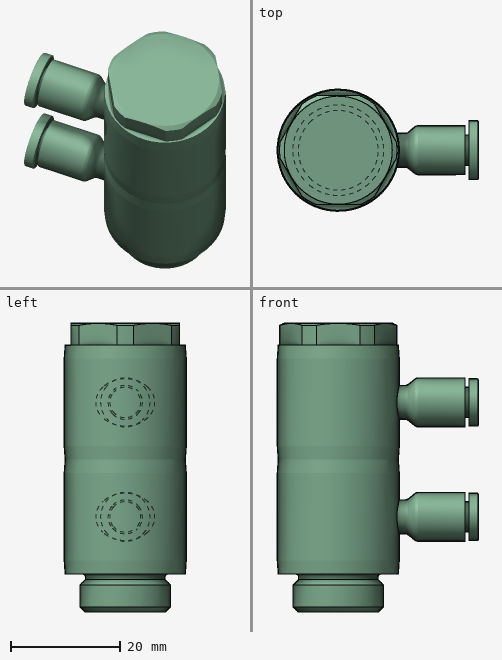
import cadquery as cq
import math

total_height = 53.0
total_length = 36.9
hex_height = 4.05
module_height = 21.0
module_count = 2
body_bottom = total_height - hex_height - module_count * module_height

body_diameter = 22.4
body_radius = body_diameter / 2
body_end_radius = 11.0
body_taper_length = 2.5

stud_radius = 8.3
stud_chamfer = 1.0
stud_neck_radius = stud_radius - stud_chamfer
stud_shoulder_height = 5.0
stud_root_fillet = 0.5

hex_across_flats = 20.0
hex_corner_radius = 10.75
hex_top_radius = 9.9
hex_chamfer_angle = 25.0

connector_neck_radius = 3.15
cone_start = 12.6
cone_end = 14.3
cone_small_fillet = 0.75
cone_large_fillet = 1.0
barrel_radius = 4.5
barrel_end = 23.25
release_stem_radius = 2.8
collar_start = 23.95
collar_end = total_length - body_radius
collar_semi_y = 5.4
collar_semi_z = 4.35
collar_edge_fillet = 0.2


def make_stud():
    """Turned stud: end chamfer, 45 degree shoulder and a filleted neck."""
    neck_start = stud_shoulder_height + stud_chamfer
    outline = (
        cq.Workplane("XZ")
        .moveTo(0, 0)
        .lineTo(stud_neck_radius, 0)
        .lineTo(stud_radius, stud_chamfer)
        .lineTo(stud_radius, stud_shoulder_height)
        .lineTo(stud_neck_radius, neck_start)
        .lineTo(stud_neck_radius, body_bottom - stud_root_fillet)
        .radiusArc((stud_neck_radius + stud_root_fillet, body_bottom), stud_root_fillet)
        .lineTo(0, body_bottom)
        .close()
    )
    return outline.revolve(360, (0, 0, 0), (0, 1, 0))


def make_module(bottom):
    """Swivel body whose two ends taper in slightly."""
    top = bottom + module_height
    outline = (
        cq.Workplane("XZ")
        .moveTo(0, bottom)
        .lineTo(body_end_radius, bottom)
        .lineTo(body_radius, bottom + body_taper_length)
        .lineTo(body_radius, top - body_taper_length)
        .lineTo(body_end_radius, top)
        .lineTo(0, top)
        .close()
    )
    return outline.revolve(360, (0, 0, 0), (0, 1, 0))


def make_hex_head():
    """Hexagon with flats facing Y, trimmed by a turned and chamfered blank."""
    bottom = total_height - hex_height
    chamfer_drop = (hex_corner_radius - hex_top_radius) * math.tan(math.radians(hex_chamfer_angle))
    hex_across_corners = hex_across_flats / math.cos(math.pi / 6)
    hexagon = (
        cq.Workplane("XY", origin=(0, 0, bottom))
        .polygon(6, hex_across_corners)
        .extrude(hex_height)
    )
    blank = (
        cq.Workplane("XZ")
        .moveTo(0, bottom)
        .lineTo(hex_corner_radius, bottom)
        .lineTo(hex_corner_radius, total_height - chamfer_drop)
        .lineTo(hex_top_radius, total_height)
        .lineTo(0, total_height)
        .close()
        .revolve(360, (0, 0, 0), (0, 1, 0))
    )
    return hexagon.intersect(blank)


def make_connector(height):
    """Necked barrel with a release stem and an elliptical release collar."""
    search_margin = 0.05
    barrel = (
        cq.Workplane("XY")
        .moveTo(0, 0)
        .lineTo(0, connector_neck_radius)
        .lineTo(cone_start, connector_neck_radius)
        .lineTo(cone_end, barrel_radius)
        .lineTo(barrel_end, barrel_radius)
        .lineTo(barrel_end, 0)
        .close()
        .revolve(360, (0, 0, 0), (1, 0, 0))
    )
    for corner, fillet in ((cone_start, cone_small_fillet), (cone_end, cone_large_fillet)):
        rim = cq.selectors.BoxSelector(
            (corner - search_margin, -barrel_radius, -barrel_radius),
            (corner + search_margin, barrel_radius, barrel_radius),
        )
        barrel = barrel.edges("%CIRCLE").edges(rim).fillet(fillet)

    stem = (
        cq.Workplane("YZ", origin=(barrel_end, 0, 0))
        .circle(release_stem_radius)
        .extrude(collar_start - barrel_end)
    )
    collar = (
        cq.Workplane("YZ", origin=(collar_start, 0, 0))
        .ellipse(collar_semi_y, collar_semi_z)
        .extrude(collar_end - collar_start)
        .faces(">X")
        .edges()
        .fillet(collar_edge_fillet)
    )
    return barrel.union(stem).union(collar).translate((0, 0, height))


result = make_stud().union(make_hex_head())
for index in range(module_count):
    module_bottom = body_bottom + index * module_height
    result = result.union(make_module(module_bottom))
    result = result.union(make_connector(module_bottom + module_height / 2))